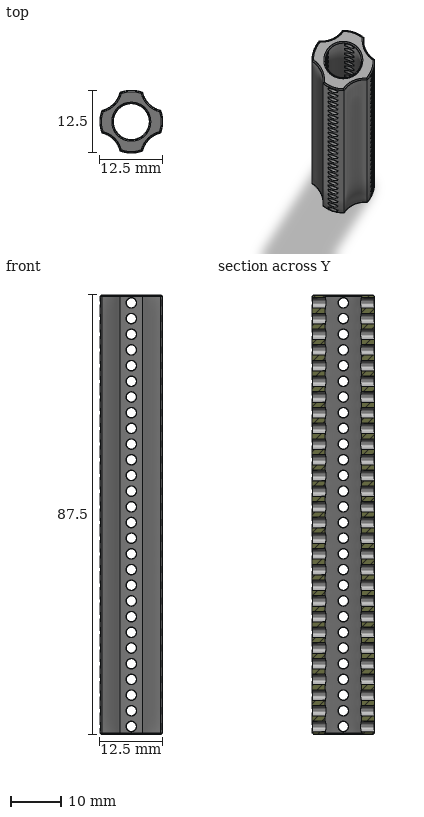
import cadquery as cq
import math

length = 87.5
outer_diameter = 12.5
bore_diameter = 7.2
end_chamfer = 0.3

lobe_count = 4
lobe_width = 4.5
groove_floor_radius = 5.0

hole_diameter = 2.0
holes_per_lobe = 28
hole_pitch = length / holes_per_lobe

outer_radius = outer_diameter / 2
lobe_angle = 360 / lobe_count
lobe_half_angle = math.degrees(math.asin(lobe_width / outer_diameter))


def polar(radius, degrees):
    """Point at the given radius and angle around the tube axis."""
    angle = math.radians(degrees)
    return (radius * math.cos(angle), radius * math.sin(angle))


def lobed_bar():
    """Solid bar whose outline alternates convex lobes and concave grooves."""
    outline = cq.Workplane("XY").moveTo(*polar(outer_radius, -lobe_half_angle))
    for lobe in range(lobe_count):
        center = lobe * lobe_angle
        lobe_end = polar(outer_radius, center + lobe_half_angle)
        groove_floor = polar(groove_floor_radius, center + lobe_angle / 2)
        next_lobe_start = polar(outer_radius, center + lobe_angle - lobe_half_angle)
        outline = outline.threePointArc(polar(outer_radius, center), lobe_end)
        outline = outline.threePointArc(groove_floor, next_lobe_start)
    return outline.close().extrude(length)


def cross_holes(plane):
    """Row of pins stacked along Z, each passing right through the tube."""
    first_hole = hole_pitch / 2
    centers = [(0, first_hole + i * hole_pitch) for i in range(holes_per_lobe)]
    pins = cq.Workplane(plane).pushPoints(centers).circle(hole_diameter / 2)
    return pins.extrude(outer_diameter, both=True)


bore = cq.Workplane("XY").circle(bore_diameter / 2).extrude(length)
tube = lobed_bar().cut(bore)

tube = tube.faces("<Z or >Z").edges().chamfer(end_chamfer)

result = tube.cut(cross_holes("XZ")).cut(cross_holes("YZ"))